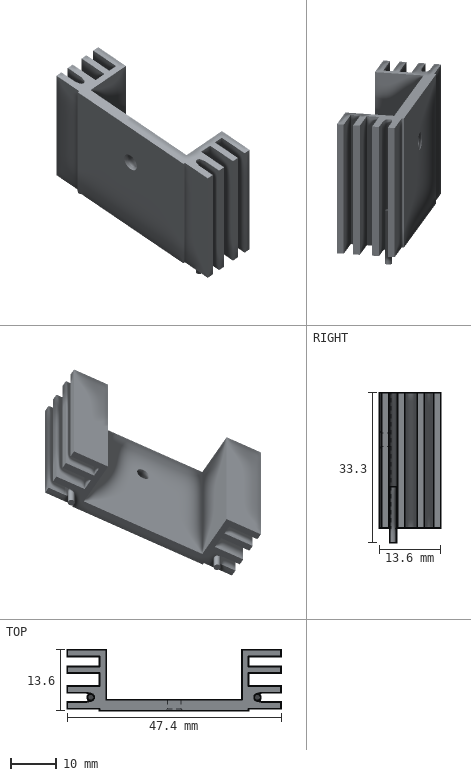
import cadquery as cq
import math

width = 47.4
depth = 13.6
height = 30.05
fin_length = 7.15
wall_thickness = 1.5
base_thickness = 2.5
face_step = 0.47
fin_thickness = 1.55
groove_width = 2.0

groove_front = face_step + fin_thickness
middle_gap_front = groove_front + groove_width + fin_thickness
middle_gap_width = 2.8
rear_gap_width = 2.15
rear_gap_front = depth - fin_thickness - rear_gap_width

hole_diameter = 3.0
countersink_diameter = 4.0
hole_z = height - 10.4

pin_diameter = 1.5
pin_length = 12.4
pin_protrusion = 3.25
pin_inset = 5.2
taper_inset = 4.2
pin_x = width / 2 - pin_inset
pin_y = groove_front + groove_width / 2


def box(x_min, y_min, length_x, length_y):
    """Full-height box with its lower corner at the given plan position."""
    return cq.Workplane("XY").box(length_x, length_y, height, centered=False).translate((x_min, y_min, 0))


def both_sides(shape):
    """Join a right-hand shape with its mirror image across X = 0."""
    return shape.union(shape.mirror("YZ"))


def pin_groove():
    """Slot between the two front fins, tapering tangentially into a round seat for the pin."""
    radius = pin_diameter / 2
    taper_x = width / 2 - taper_inset
    half_width = groove_width / 2
    run = taper_x - pin_x
    tangent_angle = math.atan2(half_width, run) + math.acos(radius / math.hypot(run, half_width))
    tangent_x = pin_x + radius * math.cos(tangent_angle)
    tangent_y = radius * math.sin(tangent_angle)
    return (
        cq.Workplane("XY")
        .moveTo(width / 2, pin_y - half_width)
        .lineTo(width / 2, pin_y + half_width)
        .lineTo(taper_x, pin_y + half_width)
        .lineTo(tangent_x, pin_y + tangent_y)
        .threePointArc((pin_x - radius, pin_y), (tangent_x, pin_y - tangent_y))
        .lineTo(taper_x, pin_y - half_width)
        .close()
        .extrude(height)
    )


def mounting_hole():
    """Through hole with a 90 degree countersink on the mounting face."""
    hole_radius = hole_diameter / 2
    sink_radius = countersink_diameter / 2
    sink_depth = sink_radius - hole_radius
    return (
        cq.Workplane("XY")
        .lineTo(sink_radius, 0)
        .lineTo(hole_radius, sink_depth)
        .lineTo(hole_radius, base_thickness)
        .lineTo(0, base_thickness)
        .close()
        .revolve(360, (0, 0, 0), (0, 1, 0))
        .translate((0, 0, hole_z))
    )


def make_heatsink():
    fin_root = width / 2 - fin_length
    channel_half = fin_root - wall_thickness
    body = box(-width / 2, 0, width, depth)
    body = body.cut(box(-channel_half, base_thickness, 2 * channel_half, depth - base_thickness))
    side_cuts = box(fin_root, 0, fin_length, face_step)
    side_cuts = side_cuts.union(box(fin_root, middle_gap_front, fin_length, middle_gap_width))
    side_cuts = side_cuts.union(box(fin_root, rear_gap_front, fin_length, rear_gap_width))
    side_cuts = side_cuts.union(pin_groove())
    return body.cut(both_sides(side_cuts)).cut(mounting_hole())


def make_pin(x):
    pin = cq.Workplane("XY").circle(pin_diameter / 2).extrude(pin_length)
    return pin.translate((x, pin_y, -pin_protrusion))


heatsink = make_heatsink()
pins = [make_pin(side * pin_x) for side in (-1, 1)]

result = cq.Compound.makeCompound([heatsink.solids().val(), *[pin.val() for pin in pins]])